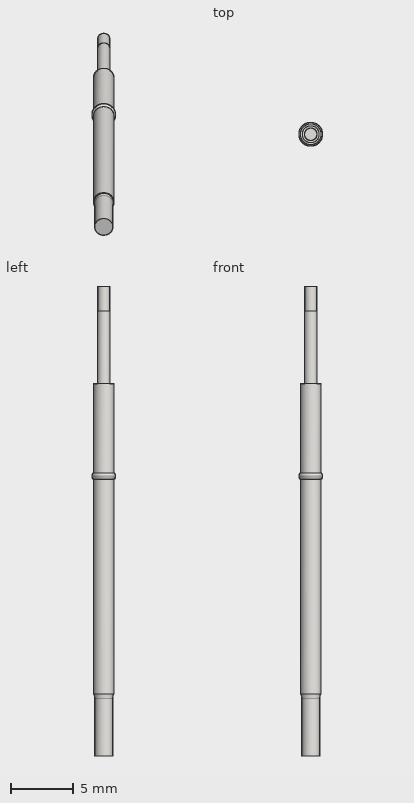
import cadquery as cq
import math

total_length = 37.85
barrel_top = 30.0
barrel_bottom = 5.0
taper_height = 0.35
tip_length = 1.95

barrel_diameter = 1.65
tail_diameter = 1.48
taper_diameter = 1.55
bore_diameter = 1.35
bore_depth = 0.38

ring_diameter = 1.93
ring_middle = 22.55
ring_height = 0.53

tip_diameter = 1.0
shaft_diameter = 1.02


def make_barrel():
    """Revolved barrel with a tapered shoulder, a tail, a press ring and a blind bore."""
    barrel_radius = barrel_diameter / 2
    tail_radius = tail_diameter / 2
    bore_radius = bore_diameter / 2
    ring_radius = ring_diameter / 2
    ring_bottom = ring_middle - ring_height / 2
    ring_top = ring_middle + ring_height / 2

    ring_rise = ring_radius - barrel_radius
    arc_radius = (ring_rise**2 + (ring_height / 2) ** 2) / (2 * ring_rise)
    arc_centre = ring_radius - arc_radius
    half_angle = math.asin(ring_height / 2 / arc_radius) / 2
    bulge_radius = arc_centre + arc_radius * math.cos(half_angle)
    bulge_offset = arc_radius * math.sin(half_angle)

    return (
        cq.Workplane("XZ")
        .moveTo(0, 0)
        .lineTo(tail_radius, 0)
        .lineTo(tail_radius, barrel_bottom - taper_height)
        .lineTo(taper_diameter / 2, barrel_bottom)
        .lineTo(barrel_radius, barrel_bottom)
        .lineTo(barrel_radius, ring_bottom)
        .threePointArc((bulge_radius, ring_middle - bulge_offset), (ring_radius, ring_middle))
        .threePointArc((bulge_radius, ring_middle + bulge_offset), (barrel_radius, ring_top))
        .lineTo(barrel_radius, barrel_top)
        .lineTo(bore_radius, barrel_top)
        .lineTo(bore_radius, barrel_top - bore_depth)
        .lineTo(0, barrel_top - bore_depth)
        .close()
        .revolve(360, (0, 0, 0), (0, 1, 0))
    )


def make_plunger():
    """Slim shaft standing on the bore floor, with a slightly narrower tip."""
    shaft_bottom = barrel_top - bore_depth
    shaft_length = total_length - tip_length - shaft_bottom
    return (
        cq.Workplane("XY", origin=(0, 0, shaft_bottom))
        .circle(shaft_diameter / 2)
        .extrude(shaft_length)
        .faces(">Z")
        .workplane()
        .circle(tip_diameter / 2)
        .extrude(tip_length)
    )


barrel = make_barrel()
plunger = make_plunger()

result = cq.Compound.makeCompound([barrel.val(), plunger.val()])